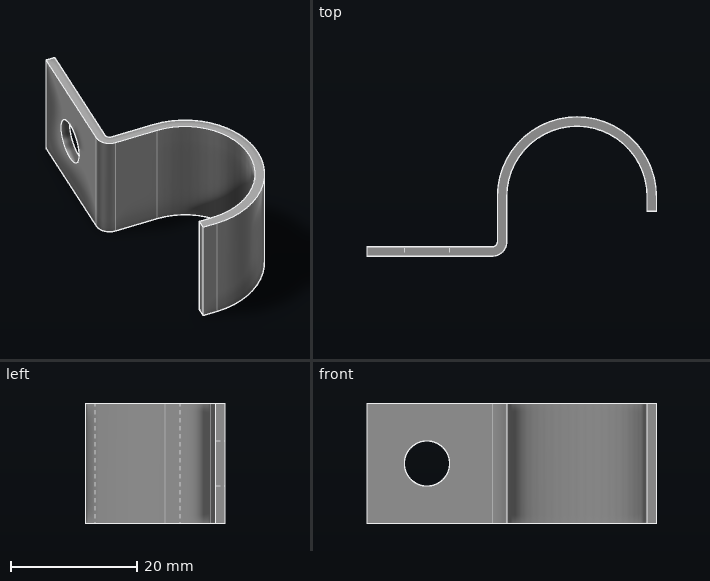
import cadquery as cq

overall_length = 45.96
overall_depth = 22.15
strap_width = 19.05
thickness = 1.524
loop_inner_radius = 11.1125
bend_inner_radius = 0.79375
tail_length = 2.4
hole_diameter = 7.14
hole_from_end = 9.525

loop_outer_radius = loop_inner_radius + thickness
bend_outer_radius = bend_inner_radius + thickness
tab_end_x = loop_outer_radius - overall_length
tab_outer_y = loop_outer_radius - overall_depth
tab_inner_y = tab_outer_y + thickness
bend_center_x = -loop_inner_radius - bend_outer_radius
bend_center_y = tab_outer_y + bend_outer_radius


def make_strap():
    """Flat tab, rounded bend, straight leg, half-circle loop and short tail."""
    return (
        cq.Workplane("XY")
        .moveTo(tab_end_x, tab_outer_y)
        .lineTo(bend_center_x, tab_outer_y)
        .radiusArc((-loop_inner_radius, bend_center_y), -bend_outer_radius)
        .lineTo(-loop_inner_radius, 0)
        .threePointArc((0, loop_inner_radius), (loop_inner_radius, 0))
        .lineTo(loop_inner_radius, -tail_length)
        .lineTo(loop_outer_radius, -tail_length)
        .lineTo(loop_outer_radius, 0)
        .threePointArc((0, loop_outer_radius), (-loop_outer_radius, 0))
        .lineTo(-loop_outer_radius, bend_center_y)
        .radiusArc((bend_center_x, tab_inner_y), bend_inner_radius)
        .lineTo(tab_end_x, tab_inner_y)
        .close()
        .extrude(strap_width)
    )


def make_hole_cutter():
    """Screw hole through the tab, centred across the strap width."""
    return (
        cq.Workplane("XZ", origin=(tab_end_x + hole_from_end, tab_inner_y, strap_width / 2))
        .circle(hole_diameter / 2)
        .extrude(thickness)
    )


result = make_strap().cut(make_hole_cutter())